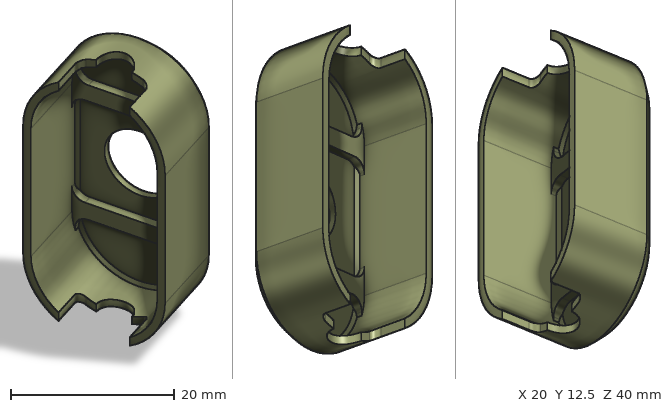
import cadquery as cq

height = 40.0
width = 20.0
depth = 12.5
back_chamfer = 1.5

wall = 1.1
floor_thickness = 1.0
cavity_chamfer = 0.5
cavity_width = width - 2 * wall
cavity_height = height - 2 * wall

bar_height = 1.25
bar_inner_z = 8.0
bar_outer_z = 10.5
bar_corner_radius = 1.8
end_pocket_inset = 0.5
end_pocket_width = cavity_width - 2 * end_pocket_inset

bore_diameter = 10.0
notch_width = 10.0
notch_depth = 5.0
notch_corner_radius = 1.0
notch_arch_radius = notch_width / 4


def oblong(total_width, total_height, back_y, length):
    """Upright oblong prism running from back_y toward -Y."""
    return (
        cq.Workplane("XZ", origin=(0, back_y, 0))
        .slot2D(total_height, total_width, 90)
        .extrude(length)
    )


def rounded_block(block_width, bottom_z, top_z):
    """Block through the bar layer, with rounded corners in the XZ plane."""
    return (
        cq.Workplane("XZ", origin=(0, -floor_thickness, 0))
        .center(0, (bottom_z + top_z) / 2)
        .rect(block_width, top_z - bottom_z)
        .extrude(bar_height)
        .edges("|Y")
        .fillet(bar_corner_radius)
    )


def make_cavity():
    cavity = oblong(cavity_width, cavity_height, -floor_thickness, depth - floor_thickness)
    return cavity.faces(">Y").chamfer(cavity_chamfer)


def make_bars(cavity):
    """Bar layer left between the middle pocket and the two end pockets."""
    layer = oblong(cavity_width, cavity_height, -floor_thickness, bar_height).intersect(cavity)
    layer = layer.cut(rounded_block(cavity_width, -bar_inner_z, bar_inner_z))
    layer = layer.cut(rounded_block(end_pocket_width, bar_outer_z, height))
    layer = layer.cut(rounded_block(end_pocket_width, -height, -bar_outer_z))
    return layer


def make_rim_notch():
    """Stepped notch through both rounded ends: a slot with an arch at its bottom."""
    slot = (
        cq.Workplane("XY", origin=(0, -depth, -height))
        .rect(notch_width, 2 * notch_depth)
        .extrude(2 * height)
        .edges("|Z and >Y")
        .fillet(notch_corner_radius)
    )
    arch = (
        cq.Workplane("XY", origin=(0, notch_depth - depth, -height))
        .circle(notch_arch_radius)
        .extrude(2 * height)
    )
    return slot.union(arch)


def make_bore():
    return cq.Workplane("XZ").circle(bore_diameter / 2).extrude(depth)


shell = oblong(width, height, 0, depth).faces(">Y").chamfer(back_chamfer)
cavity = make_cavity()
result = shell.cut(cavity).union(make_bars(cavity)).cut(make_rim_notch()).cut(make_bore())